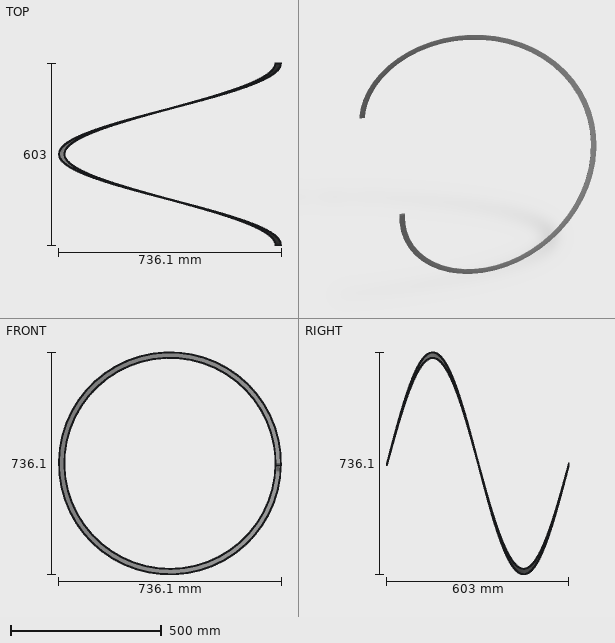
import cadquery as cq

outer_radius = 368.0
strip_width = 18.5
end_height = 6.5
lead = 603.0
turn_angle = -360.0

inner_radius = outer_radius - strip_width
end_profile = (
    cq.Workplane("XZ", origin=(0, lead / 2, 0))
    .moveTo(inner_radius, -end_height)
    .lineTo(outer_radius, -end_height)
    .lineTo(outer_radius, 0)
    .lineTo(inner_radius, 0)
    .close()
)

result = end_profile.twistExtrude(lead, turn_angle)